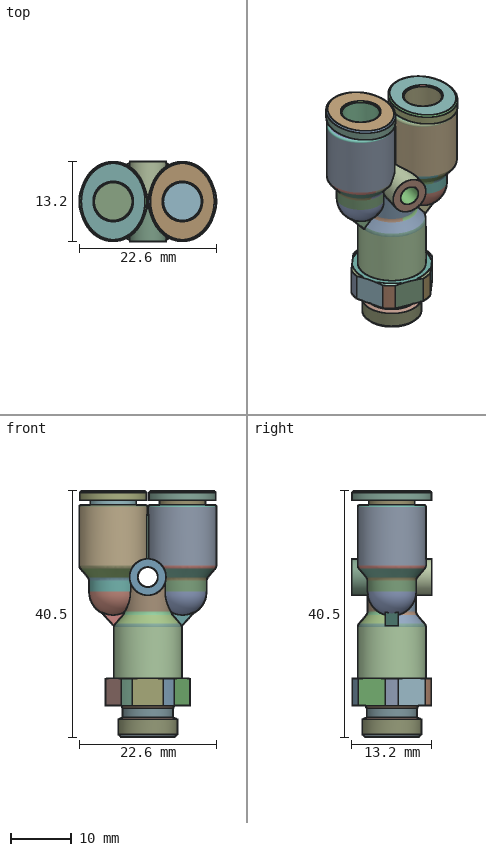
import cadquery as cq
import math

total_height = 40.45
overall_width = 22.6
collar_bottom = 38.87
port_body_top = 38.15
web_top = 36.53
cross_tube_height = 26.3
port_cone_top = 27.9
dome_centre_height = 23.9
stem_cone_bottom = 18.4
hex_top = 9.7
hex_bottom = 5.18
relief_top = 4.75
relief_bottom = 3.25
thread_top = 2.9

barrel_radius = 5.62
neck_radius = 4.0
cone_height = 1.9
cone_blend = 0.85
edge_tolerance = 0.05

port_offset = overall_width / 2 - barrel_radius
port_top_round = 0.32
sleeve_radius = 3.8
collar_half_x = 5.5
collar_half_y = 6.55
collar_chamfer = 0.3
bore_radius = 3.1
bore_chamfer = 0.2
bore_bottom = port_cone_top

cross_tube_radius = 3.0
cross_hole_radius = 1.6
cross_tube_length = 13.2

web_thickness = 2.15
web_half_width = 1.2
gusset_bottom = 18.3
gusset_outer_x = 7.7
gusset_outer_height = 20.55

hex_across_flats = 13.02
hex_corner_radius = 7.0
hex_chamfer_height = 0.15
relief_radius = 4.15
relief_flare_radius = 4.35
thread_radius = 4.9
thread_chamfer = 0.5


def revolve_profile(points):
    """Revolve a closed (radius, height) outline about the vertical axis."""
    return cq.Workplane("YZ").polyline(points).close().revolve(360, (0, 0), (0, 1))


def round_circles(solid, heights, radius):
    """Round the horizontal circular edges that lie at the given heights."""
    for height in heights:
        band = cq.selectors.BoxSelector(
            (-barrel_radius, -barrel_radius, height - edge_tolerance),
            (barrel_radius, barrel_radius, height + edge_tolerance),
        )
        solid = solid.edges("%CIRCLE").edges(band).fillet(radius)
    return solid


def make_port_body():
    """Port barrel that tapers to a neck closed by a hemispherical dome."""
    cone_bottom = port_cone_top - cone_height
    diagonal = neck_radius * math.sqrt(0.5)
    body = (
        cq.Workplane("YZ")
        .moveTo(0, dome_centre_height - neck_radius)
        .threePointArc((diagonal, dome_centre_height - diagonal), (neck_radius, dome_centre_height))
        .lineTo(neck_radius, cone_bottom)
        .lineTo(barrel_radius, port_cone_top)
        .lineTo(barrel_radius, port_body_top)
        .lineTo(0, port_body_top)
        .close()
        .revolve(360, (0, 0), (0, 1))
    )
    body = round_circles(body, [cone_bottom, port_cone_top], cone_blend)
    return round_circles(body, [port_body_top], port_top_round)


def make_release_collar():
    """Oval release collar on a round sleeve."""
    sleeve = (
        cq.Workplane("XY", origin=(0, 0, port_body_top))
        .circle(sleeve_radius)
        .extrude(collar_bottom - port_body_top)
    )
    collar = (
        cq.Workplane("XY", origin=(0, 0, collar_bottom))
        .ellipse(collar_half_x, collar_half_y)
        .extrude(total_height - collar_bottom)
        .faces(">Z")
        .chamfer(collar_chamfer)
    )
    return sleeve.union(collar)


def make_port_bore():
    """Blind tube socket with a chamfered mouth."""
    mouth_radius = bore_radius + bore_chamfer
    return revolve_profile([
        (0, bore_bottom),
        (bore_radius, bore_bottom),
        (bore_radius, total_height - bore_chamfer),
        (mouth_radius, total_height),
        (0, total_height),
    ])


def make_main_barrel():
    """Lower barrel that tapers up to a stem ending inside the cross tube."""
    stem_cone_top = stem_cone_bottom + cone_height
    barrel = revolve_profile([
        (0, hex_bottom),
        (barrel_radius, hex_bottom),
        (barrel_radius, stem_cone_bottom),
        (neck_radius, stem_cone_top),
        (neck_radius, cross_tube_height),
        (0, cross_tube_height),
    ])
    return round_circles(barrel, [stem_cone_bottom, stem_cone_top], cone_blend)


def make_hexagon():
    """Hexagon with flats facing Y, turned corners and a chamfered top."""
    prism = (
        cq.Workplane("XY", origin=(0, 0, hex_bottom))
        .polygon(6, hex_across_flats / math.cos(math.pi / 6))
        .extrude(hex_top - hex_bottom)
    )
    turned_blank = revolve_profile([
        (0, hex_bottom),
        (hex_corner_radius, hex_bottom),
        (hex_corner_radius, hex_top - hex_chamfer_height),
        (hex_across_flats / 2, hex_top),
        (0, hex_top),
    ])
    return prism.intersect(turned_blank)


def make_threaded_end():
    """Plain thread cylinder with a relief groove below the hexagon."""
    return revolve_profile([
        (0, 0),
        (thread_radius - thread_chamfer, 0),
        (thread_radius, thread_chamfer),
        (thread_radius, thread_top),
        (relief_radius, relief_bottom),
        (relief_radius, relief_top),
        (relief_flare_radius, hex_bottom),
        (0, hex_bottom),
    ])


def make_web():
    """Flat web joining the two ports, with gussets under the domes."""
    start = cq.Workplane("XZ", origin=(0, web_thickness / 2, 0))
    web = (
        start.moveTo(-web_half_width, gusset_bottom)
        .lineTo(web_half_width, gusset_bottom)
        .lineTo(web_half_width, web_top)
        .lineTo(-web_half_width, web_top)
        .close()
        .extrude(web_thickness)
    )
    gusset = (
        start.moveTo(-barrel_radius, gusset_bottom)
        .lineTo(barrel_radius, gusset_bottom)
        .lineTo(gusset_outer_x, gusset_outer_height)
        .lineTo(-gusset_outer_x, gusset_outer_height)
        .close()
        .extrude(web_thickness)
    )
    return web.union(gusset)


def make_cross_cylinder(radius):
    """Cylinder along Y through the middle of the fork."""
    return (
        cq.Workplane("XZ", origin=(0, cross_tube_length / 2, cross_tube_height))
        .circle(radius)
        .extrude(cross_tube_length)
    )


body = make_threaded_end().union(make_hexagon()).union(make_main_barrel()).union(make_web())

port = make_port_body().union(make_release_collar())
port_bore = make_port_bore()
port_positions = [(-port_offset, 0, 0), (port_offset, 0, 0)]
for position in port_positions:
    body = body.union(port.translate(position))

body = body.union(make_cross_cylinder(cross_tube_radius))
body = body.cut(make_cross_cylinder(cross_hole_radius))
for position in port_positions:
    body = body.cut(port_bore.translate(position))

result = body